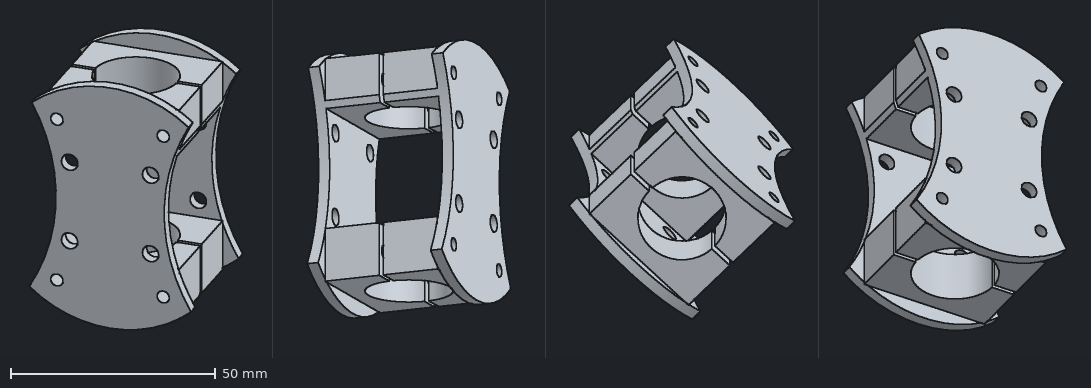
import cadquery as cq

height = 65.0
depth = 36.0
plate_radius = height / 2
plate_thickness = 3.0
waist_half_width = 14.2
waist_radius = 49.5
waist_center_x = waist_half_width + waist_radius
waist_center_z = 0.85

block_width = 34.0
split_gap = 1.1
bore_diameter = 21.6
upper_block_bottom = 15.5
upper_block_top = 27.95
lower_block_bottom = -28.35
lower_block_top = -15.0

clamp_hole_diameter = 3.2
clamp_hole_x = 13.9
clamp_hole_z = 21.7
plate_hole_diameter = 4.2
plate_hole_x = 10.6
plate_hole_z = 10.6


def rod_along_y(diameter, x, z):
    """Cylinder spanning the full depth, centered on Y = 0."""
    rod = cq.Workplane("XZ").circle(diameter / 2).extrude(depth / 2, both=True)
    return rod.translate((x, 0, z))


def make_plate():
    """Front plate, before its waist is cut."""
    disc = cq.Workplane("XZ", origin=(0, -depth / 2, 0)).circle(plate_radius)
    return disc.extrude(-plate_thickness)


def make_block(bottom, top):
    """Half-clamp block from the plate's inner face to the split."""
    y_plate = -depth / 2 + plate_thickness
    y_split = -split_gap / 2
    block = cq.Workplane("XY").box(
        block_width, y_split - y_plate, top - bottom, centered=(True, False, False)
    )
    return block.translate((0, y_plate, bottom))


def cut_waist(body):
    """Cut the concave sides through the body."""
    for side in (-1, 1):
        body = body.cut(rod_along_y(2 * waist_radius, side * waist_center_x, waist_center_z))
    return body


def cut_hole_pattern(body, diameter, hole_x, hole_z):
    """Cut four holes placed symmetrically about the center."""
    for x in (-hole_x, hole_x):
        for z in (-hole_z, hole_z):
            body = body.cut(rod_along_y(diameter, x, z))
    return body


def make_clamp_half():
    """Plate and two half-clamp blocks on the -Y side."""
    upper_block = make_block(upper_block_bottom, upper_block_top)
    lower_block = make_block(lower_block_bottom, lower_block_top)
    bore = cq.Workplane("XY").circle(bore_diameter / 2).extrude(height / 2, both=True)
    body = cut_waist(make_plate().union(upper_block))
    body = body.union(lower_block).cut(bore)
    body = cut_hole_pattern(body, clamp_hole_diameter, clamp_hole_x, clamp_hole_z)
    return cut_hole_pattern(body, plate_hole_diameter, plate_hole_x, plate_hole_z)


clamp_halves = []
for mirrored in (False, True):
    half = make_clamp_half()
    if mirrored:
        half = half.mirror("XZ")
    clamp_halves.append(half.val())

result = cq.Compound.makeCompound(clamp_halves)